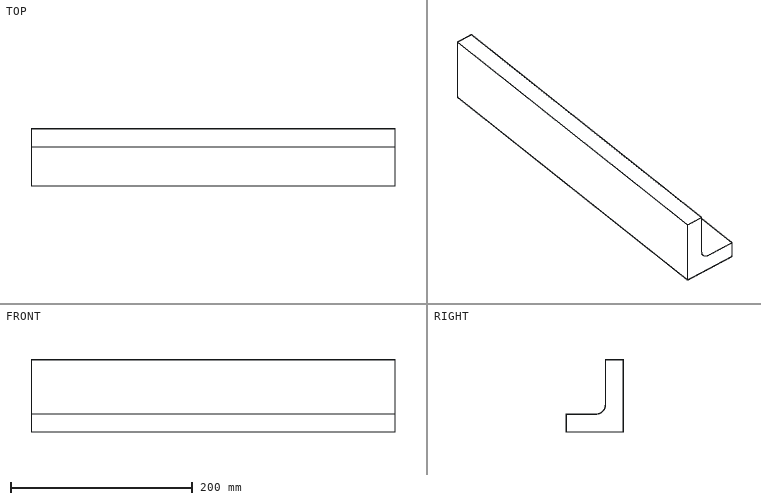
import cadquery as cq

length = 400.0
depth = 63.0
height = 80.0
thickness = 20.0
inner_radius = 10.0

foot_tip = -depth / 2
back = depth / 2
wall_front = back - thickness

section = (
    cq.Workplane("YZ")
    .moveTo(foot_tip, 0)
    .lineTo(back, 0)
    .lineTo(back, height)
    .lineTo(wall_front, height)
    .lineTo(wall_front, thickness + inner_radius)
    .radiusArc((wall_front - inner_radius, thickness), inner_radius)
    .lineTo(foot_tip, thickness)
    .close()
)

result = section.extrude(length / 2, both=True)